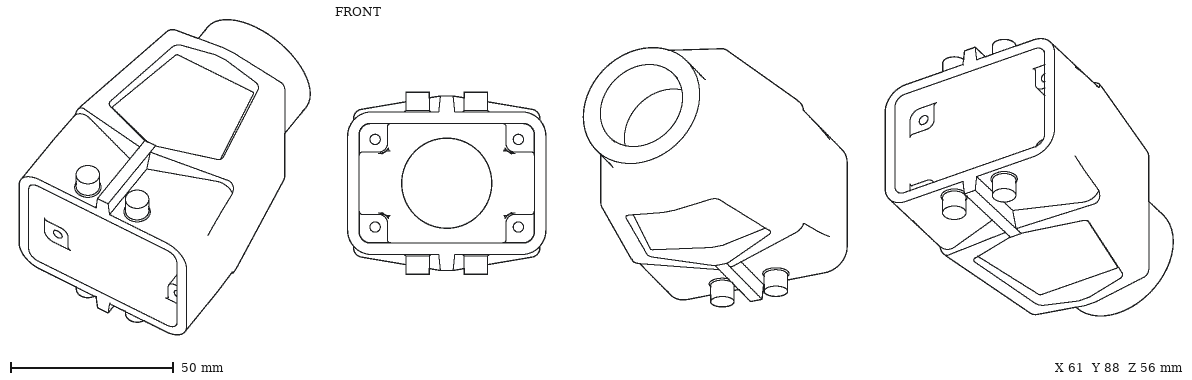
import cadquery as cq
import math

LENGTH = 88.0
MOUTH_HALF_WIDTH = 61.0 / 2
MOUTH_HALF_HEIGHT = 21.9
MOUTH_CORNER_RADIUS = 7.5
WALL = 3.5

MOUTH_STRAIGHT = 8.8
BEND_Y = 32.1
BEND_HALF_WIDTH = 28.4
END_FACE_Y = 72.2
END_HALF_WIDTH = 21.1

RIDGE_HEIGHT = 26.8
RIDGE_HALF_WIDTH = 1.9
ROOF_SLOPE = 9.6
HOOD_EDGE_RADIUS = 2.8
DRAFT = 30.0
STEP_CENTRE_Y = 6.95
STEP_SLOPE = 0.36

NECK_RADIUS = 19.5
BORE_RADIUS = 13.8
NECK_FILLET = 2.3

PEG_X = 9.0
PEG_Y = 5.5
PEG_RADIUS = 3.6
PEG_TIP = 56.0 / 2
PEG_COLLAR = 0.4

RIB_FOOT_HALF_WIDTH = 2.5

POCKET_FLOOR = MOUTH_HALF_HEIGHT
POCKET_BACK_Y = 64.3
POCKET_BACK_HALF_WIDTH = 14.1
POCKET_SIDE_Y = 36.0
POCKET_SIDE_HALF_WIDTH = 19.6
POCKET_POINT_Y = 30.0
POCKET_CORNER_RADIUS = 0.7

CAVITY_CORNER_RADIUS = 3.5
CAVITY_END_Y = 69.5
CAVITY_END_HALF_WIDTH = 18.0
CAVITY_DRAFT = 0.7
CAVITY_FILLET = 0.9
POST_X = 18.3
POST_Z = 9.7
POST_RADIUS = 2.6
SCREW_X = 22.0
SCREW_Z = 13.5
SCREW_RADIUS = 1.6
SCREW_DEPTH = 10.6

REACH = 52.8
OVERLAP = 0.9


def section(y):
    """XZ workplane at depth y whose extrusions run towards the neck (+Y)."""
    return cq.Workplane(cq.Plane((0, y, 0), (1, 0, 0), (0, 1, 0)))


def on_both_faces(solid):
    """The solid together with its mirror image below the XY plane."""
    return solid.union(solid.mirror("XY"))


def plan_prism(half_widths):
    """Vertical prism, symmetric in X, through (y, half width) stations."""
    right = [(x, y) for y, x in half_widths]
    left = [(-x, y) for x, y in reversed(right)]
    return cq.Workplane("XY").polyline(right + left).close().extrude(REACH, both=True)


def rounded_prism(half_width, half_height, radius, depth):
    """Rounded rectangular block running back from the mouth plane."""
    return section(0).rect(2 * half_width, 2 * half_height).extrude(depth).edges("|Y").fillet(radius)


def make_hood(outer_plan):
    """Gabled block with tapering sides, rounded rear edges and a stepped front."""
    eave = RIDGE_HEIGHT - (REACH - RIDGE_HALF_WIDTH) * math.tan(math.radians(ROOF_SLOPE))
    roof = [(-REACH, eave), (-RIDGE_HALF_WIDTH, RIDGE_HEIGHT),
            (RIDGE_HALF_WIDTH, RIDGE_HEIGHT), (REACH, eave)]
    floor = [(x, -z) for x, z in reversed(roof)]
    hood = section(0).polyline(roof + floor).close().extrude(END_FACE_Y).intersect(outer_plan)
    rear = cq.selectors.BoxSelector((-REACH, BEND_Y - OVERLAP, -REACH), (REACH, LENGTH, REACH))
    hood = hood.edges(rear).fillet(HOOD_EDGE_RADIUS)
    return hood.intersect(make_step_cutter())


def make_step_cutter():
    """Block with a V-shaped, drafted front that ends the hood behind the mouth."""
    side_y = STEP_CENTRE_Y + STEP_SLOPE * 2 * REACH
    outline = [(0, STEP_CENTRE_Y), (2 * REACH, side_y), (2 * REACH, 2 * LENGTH),
               (-2 * REACH, 2 * LENGTH), (-2 * REACH, side_y)]
    upper = cq.Workplane("XY").polyline(outline).close().extrude(RIDGE_HEIGHT + OVERLAP, taper=DRAFT)
    return on_both_faces(upper)


def make_rib():
    """Trapezoidal rib along the middle, from the mouth into the hood."""
    profile = [(-RIB_FOOT_HALF_WIDTH, MOUTH_HALF_HEIGHT - OVERLAP), (-RIB_FOOT_HALF_WIDTH, MOUTH_HALF_HEIGHT),
               (-RIDGE_HALF_WIDTH, RIDGE_HEIGHT), (RIDGE_HALF_WIDTH, RIDGE_HEIGHT),
               (RIB_FOOT_HALF_WIDTH, MOUTH_HALF_HEIGHT), (RIB_FOOT_HALF_WIDTH, MOUTH_HALF_HEIGHT - OVERLAP)]
    return on_both_faces(section(0).polyline(profile).close().extrude(BEND_Y))


def make_peg(x):
    """Pair of round pegs, above and below, each on a small conical collar."""
    collar_radius = PEG_RADIUS + PEG_COLLAR
    profile = [(0, MOUTH_HALF_HEIGHT - OVERLAP), (collar_radius, MOUTH_HALF_HEIGHT - OVERLAP),
               (collar_radius, MOUTH_HALF_HEIGHT), (PEG_RADIUS, MOUTH_HALF_HEIGHT + PEG_COLLAR),
               (PEG_RADIUS, PEG_TIP), (0, PEG_TIP)]
    peg = cq.Workplane("XZ").polyline(profile).close().revolve(360, (0, 0), (0, 1))
    return on_both_faces(peg.translate((x, PEG_Y, 0)))


def make_pocket():
    """Shield-shaped recess with a flat floor and drafted walls."""
    right = [(RIDGE_HALF_WIDTH, POCKET_POINT_Y), (POCKET_SIDE_HALF_WIDTH, POCKET_SIDE_Y),
             (POCKET_BACK_HALF_WIDTH, POCKET_BACK_Y)]
    left = [(-x, y) for x, y in reversed(right)]
    base = cq.Workplane("XY", (0, 0, POCKET_FLOOR))
    upright = base.polyline(right + left).close().extrude(OVERLAP)
    upright = upright.edges("|Z").edges("<X or >X or >Y").fillet(POCKET_CORNER_RADIUS)
    outline = upright.faces("<Z").wires().vals()
    depth = RIDGE_HEIGHT - POCKET_FLOOR + OVERLAP
    return on_both_faces(base.add(outline).toPending().extrude(depth, taper=-DRAFT))


def drafted(prism, depth):
    """The front outline of a prism, extruded again with the cavity draft."""
    outline = prism.faces("<Y").wires().vals()
    return section(0).add(outline).toPending().extrude(depth, taper=CAVITY_DRAFT)


def make_cavity():
    """Hollow inside: a rounded mouth leading into the core between the posts."""
    half_width = MOUTH_HALF_WIDTH - WALL
    half_height = MOUTH_HALF_HEIGHT - WALL
    mouth_block = rounded_prism(half_width, half_height, CAVITY_CORNER_RADIUS, MOUTH_STRAIGHT)
    mouth = drafted(mouth_block, MOUTH_STRAIGHT)

    tall = section(0).rect(2 * POST_X, 2 * half_height).extrude(CAVITY_END_Y)
    wide = section(0).rect(2 * half_width, 2 * POST_Z).extrude(CAVITY_END_Y)
    cross = tall.union(wide)
    reach_x = POST_X + OVERLAP
    reach_z = POST_Z + OVERLAP
    inner = cq.selectors.BoxSelector((-reach_x, 0, -reach_z), (reach_x, LENGTH, reach_z))
    cross = cross.edges("|Y").edges(inner).fillet(POST_RADIUS)
    core = drafted(cross, CAVITY_END_Y)
    inner_plan = plan_prism([(0, half_width), (MOUTH_STRAIGHT, half_width), (BEND_Y, BEND_HALF_WIDTH - WALL),
                             (CAVITY_END_Y, CAVITY_END_HALF_WIDTH)])
    core = core.intersect(inner_plan)

    lengthwise = core.edges("%LINE").edges("not #Y")
    between_posts = cq.selectors.BoxSelector((-REACH, 0, -POST_Z), (REACH, LENGTH, POST_Z))
    rounded = lengthwise.edges(between_posts).vals()
    rounded += lengthwise.edges("<Z or >Z").vals()
    rounded += core.faces(">Y").edges().vals()
    core = core.newObject(rounded).fillet(CAVITY_FILLET)
    return mouth.union(core)


outer_plan = plan_prism([(0, MOUTH_HALF_WIDTH), (MOUTH_STRAIGHT, MOUTH_HALF_WIDTH),
                         (BEND_Y, BEND_HALF_WIDTH), (END_FACE_Y, END_HALF_WIDTH)])

neck = section(BEND_Y).circle(NECK_RADIUS).extrude(LENGTH - BEND_Y)
neck_foot = cq.selectors.BoxSelector((-REACH, END_FACE_Y - OVERLAP, -REACH),
                                     (REACH, END_FACE_Y + OVERLAP, REACH))
shell = make_hood(outer_plan).union(neck)
shell = shell.edges(neck_foot).edges("%CIRCLE").fillet(NECK_FILLET)

sleeve = rounded_prism(MOUTH_HALF_WIDTH, MOUTH_HALF_HEIGHT, MOUTH_CORNER_RADIUS, BEND_Y + OVERLAP)
shell = shell.union(sleeve.intersect(outer_plan))
shell = shell.union(make_rib())
for side in (-1, 1):
    shell = shell.union(make_peg(side * PEG_X))
shell = shell.cut(make_pocket())

bore = section(CAVITY_END_Y - OVERLAP).circle(BORE_RADIUS).extrude(LENGTH)
screw_points = [(i * SCREW_X, j * SCREW_Z) for i in (-1, 1) for j in (-1, 1)]
screw_holes = section(MOUTH_STRAIGHT).pushPoints(screw_points).circle(SCREW_RADIUS).extrude(SCREW_DEPTH)
result = shell.cut(make_cavity()).cut(bore).cut(screw_holes)